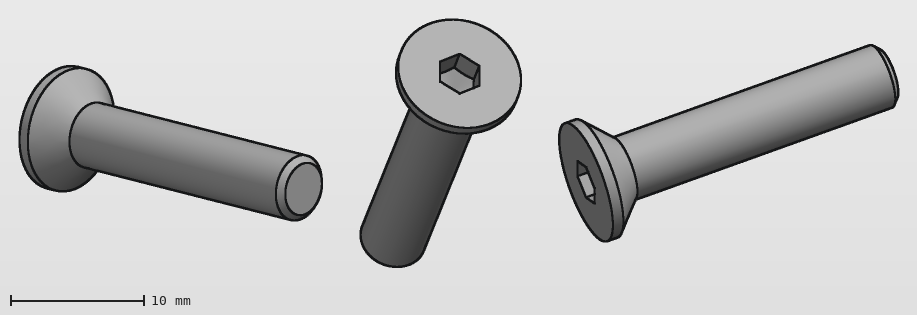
import cadquery as cq
import math

length = 25.0
head_radius = 9.42 / 2
shank_radius = 5.0 / 2
rim_thickness = 0.88
tip_chamfer = 0.5

socket_flats = 3.0
socket_depth = 2.0
floor_cone_angle = 120.0

head_height = rim_thickness + head_radius - shank_radius
socket_corner_radius = socket_flats / math.sqrt(3)
floor_cone_depth = socket_corner_radius / math.tan(math.radians(floor_cone_angle / 2))


def revolve_about_x(profile):
    """Turn a closed profile of (x, radius) points about the X axis."""
    return cq.Workplane("XY").polyline(profile).close().revolve(360, (0, 0, 0), (1, 0, 0))


def make_body():
    return revolve_about_x([
        (0, 0),
        (0, head_radius),
        (rim_thickness, head_radius),
        (head_height, shank_radius),
        (length - tip_chamfer, shank_radius),
        (length, shank_radius - tip_chamfer),
        (length, 0),
    ])


def make_socket():
    """Hexagonal prism, corners toward +Z and -Z, ended by a cone."""
    full_depth = socket_depth + floor_cone_depth
    prism = (
        cq.Workplane("YZ")
        .polygon(6, 2 * socket_corner_radius)
        .extrude(full_depth)
        .rotate((0, 0, 0), (1, 0, 0), 90)
    )
    pointed_envelope = revolve_about_x([
        (0, 0),
        (0, socket_corner_radius),
        (socket_depth, socket_corner_radius),
        (full_depth, 0),
    ])
    return prism.intersect(pointed_envelope)


result = make_body().cut(make_socket())